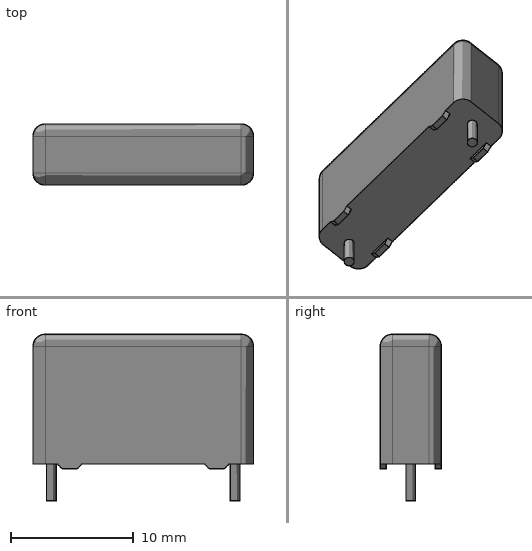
import cadquery as cq

length = 18.0
width = 5.0
total_height = 13.6
lead_length = 3.0
case_height = total_height - lead_length
edge_radius = 1.0

lead_diameter = 0.81
lead_pitch = 15.0
lead_embed = 0.36

foot_height = 0.4
foot_top_length = 2.0
foot_bottom_length = foot_top_length - 2 * foot_height
foot_thickness = 0.5
foot_spacing = 12.0


def make_case():
    """Box standing on Z = 0 with every edge rounded except the bottom ones."""
    box = cq.Workplane("XY").box(length, width, case_height, centered=(True, True, False))
    return box.edges("|Z or >Z").fillet(edge_radius)


def make_lead(x):
    """Round wire below the case at the given X."""
    lead = cq.Workplane("XY").center(x, 0).circle(lead_diameter / 2)
    return lead.extrude(lead_length + lead_embed).translate((0, 0, -lead_length))


def make_foot(x, y_min):
    """Trapezoidal foot under the case, growing from y_min toward +Y."""
    profile = [
        (x - foot_top_length / 2, 0),
        (x - foot_bottom_length / 2, -foot_height),
        (x + foot_bottom_length / 2, -foot_height),
        (x + foot_top_length / 2, 0),
    ]
    foot = cq.Workplane("XZ").polyline(profile).close().extrude(-foot_thickness)
    return foot.translate((0, y_min, 0))


result = make_case()
for side in (-1, 1):
    result = result.union(make_lead(side * lead_pitch / 2))
    for foot_y_min in (-width / 2, width / 2 - foot_thickness):
        result = result.union(make_foot(side * foot_spacing / 2, foot_y_min))